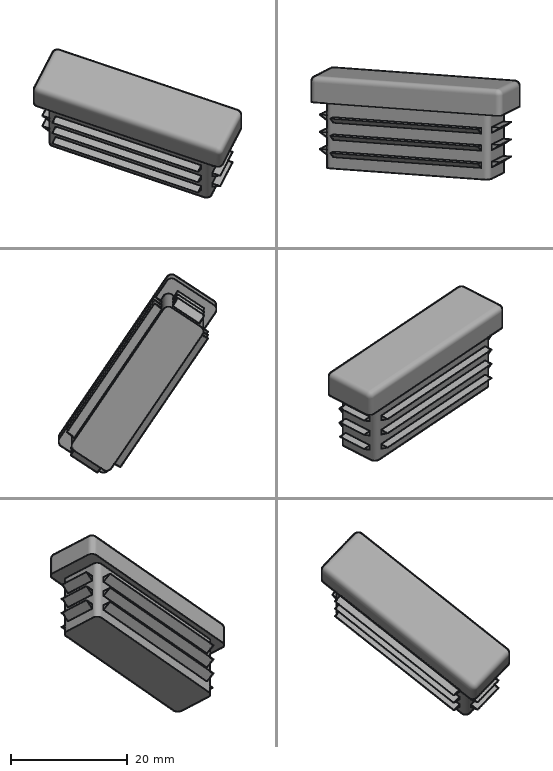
import cadquery as cq

CAP_LENGTH = 35.0
CAP_WIDTH = 10.0
CAP_HEIGHT = 4.5
CAP_ROUNDING = 1.0

BODY_LENGTH = 30.0
BODY_WIDTH = 8.0
BODY_HEIGHT = 11.5
BODY_CORNER_RADIUS = 1.0

BARB_REACH = 1.5
BARB_HEIGHT = 1.0
BARB_COUNT = 3
BARB_PITCH = 3.0
FIRST_BARB_DROP = 2.5
LONG_BARB_LENGTH = 27.0
SHORT_BARB_LENGTH = 5.5


def make_cap():
    """Block with rounded vertical and top edges, its underside at Z = 0."""
    block = cq.Workplane("XY").box(CAP_LENGTH, CAP_WIDTH, CAP_HEIGHT, centered=(True, True, False))
    return block.edges("|Z or >Z").fillet(CAP_ROUNDING)


def make_body():
    """Straight plug hanging below the cap."""
    block = cq.Workplane("XY").rect(BODY_LENGTH, BODY_WIDTH).extrude(-BODY_HEIGHT)
    return block.edges("|Z").fillet(BODY_CORNER_RADIUS)


def make_barb_bar(plane, half_span, length, top):
    """Bar through the body whose two ends form a pair of opposite barbs.

    Each barb has a flat top and an underside sloping back to the body face.
    """
    tip = half_span + BARB_REACH
    bottom = top - BARB_HEIGHT
    profile = [(-tip, top), (tip, top), (half_span, bottom), (-half_span, bottom)]
    return cq.Workplane(plane).polyline(profile).close().extrude(length / 2, both=True)


def make_barb_row(top):
    """Barbs on all four sides of the body at one level."""
    long_barbs = make_barb_bar("YZ", BODY_WIDTH / 2, LONG_BARB_LENGTH, top)
    short_barbs = make_barb_bar("XZ", BODY_LENGTH / 2, SHORT_BARB_LENGTH, top)
    return long_barbs.union(short_barbs)


result = make_cap().union(make_body())
for row in range(BARB_COUNT):
    result = result.union(make_barb_row(-FIRST_BARB_DROP - row * BARB_PITCH))